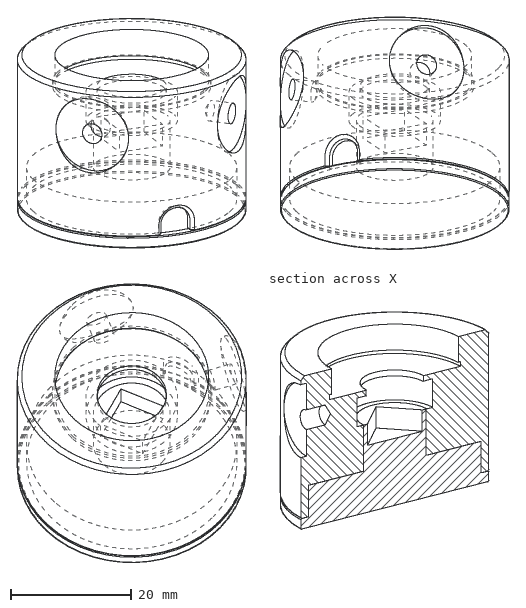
import cadquery as cq
import math

outer_diameter = 38.1
total_height = 27.4
rim_chamfer = 0.75
joint_chamfer = 0.2

flange_height = 2.0
spigot_diameter = 35.0
spigot_top = 7.62
hub_diameter = 12.8
hub_top = 15.9
socket_side = 7.77
socket_depth = 3.8
socket_turn = 45.0

mouth_diameter = 25.6
mouth_depth = 4.65
groove_diameter = 26.4
groove_floor_depth = 5.4
lip_diameter = 11.5
lip_thickness = 1.05
chamber_diameter = 15.25

seat_diameter = 13.0
seat_depth = 1.15
seat_height = 19.4
seat_directions = (-90, 0)
hole_diameter = 3.45
hole_depth = 3.8
drill_point_angle = 118.0

window_width = 5.25
window_spring_height = 3.8
window_chamfer = 0.6
window_direction = -45.0

outer_radius = outer_diameter / 2
spigot_radius = spigot_diameter / 2
mouth_bottom = total_height - mouth_depth
groove_floor = total_height - groove_floor_depth
lip_bottom = groove_floor - lip_thickness


def disc(diameter, bottom, top):
    """Upright cylinder on the Z axis between two heights."""
    return cq.Workplane("XY").workplane(offset=bottom).circle(diameter / 2).extrude(top - bottom)


def turn(shape, angle):
    """Turn a shape about the Z axis."""
    return shape.rotate((0, 0, 0), (0, 0, 1), angle)


def make_base():
    """Chamfered flange with a spigot and a hub that carries the square socket."""
    flange = disc(outer_diameter, 0, flange_height).edges().chamfer(joint_chamfer)
    spigot = disc(spigot_diameter, flange_height, spigot_top)
    hub = disc(hub_diameter, spigot_top, hub_top)
    socket = (
        cq.Workplane("XY")
        .workplane(offset=hub_top - socket_depth)
        .rect(socket_side, socket_side)
        .extrude(socket_depth)
    )
    return flange.union(spigot).union(hub).cut(turn(socket, socket_turn))


def make_window():
    """Arched opening that runs from the axis out through the -X side."""
    half_width = window_width / 2
    return (
        cq.Workplane("YZ")
        .moveTo(-half_width, 0)
        .lineTo(-half_width, window_spring_height)
        .threePointArc((0, window_spring_height + half_width), (half_width, window_spring_height))
        .lineTo(half_width, 0)
        .close()
        .extrude(-outer_diameter)
    )


def is_on_outer_wall(edge):
    """True when the middle of the edge lies on the outer cylinder."""
    middle = edge.positionAt(0.5)
    return math.isclose(math.hypot(middle.x, middle.y), outer_radius, abs_tol=0.005)


def is_off_bore(edge):
    """True for every edge except the arcs of the spigot bore."""
    return edge.geomType() != "CIRCLE" or edge.radius() > spigot_radius + joint_chamfer


def make_shell():
    """Housing blank with its spigot bore and chamfered window, turned into place."""
    shell = disc(outer_diameter, flange_height, total_height).edges(">Z").chamfer(rim_chamfer)
    shell = shell.cut(disc(spigot_diameter, flange_height, spigot_top)).cut(make_window())

    zone_reach = window_width
    window_zone = cq.selectors.BoxSelector(
        (-outer_diameter, -zone_reach, flange_height + joint_chamfer), (0, zone_reach, spigot_top)
    )
    shell = shell.edges(window_zone).filter(is_on_outer_wall).chamfer(window_chamfer)
    shell = shell.faces("<Z").edges().filter(is_off_bore).chamfer(joint_chamfer)
    return turn(shell, window_direction + 180)


def make_cavity():
    """Mouth, undercut groove, lip opening, undercut chamber and hub bore."""
    mouth = disc(mouth_diameter, mouth_bottom, total_height)
    groove = disc(groove_diameter, groove_floor, mouth_bottom)
    lip_opening = disc(lip_diameter, lip_bottom, groove_floor)
    chamber = disc(chamber_diameter, hub_top, lip_bottom)
    hub_bore = disc(hub_diameter, spigot_top, hub_top)
    return mouth.union(groove).union(lip_opening).union(chamber).union(hub_bore)


def make_seat(direction):
    """Flat round seat with a drilled hole, facing the given direction."""
    seat_floor = outer_radius - seat_depth
    hole_radius = hole_diameter / 2
    hole_end = seat_floor - hole_depth
    hole_tip = hole_end - hole_radius / math.tan(math.radians(drill_point_angle / 2))
    half_profile = [
        (hole_tip, 0),
        (hole_end, hole_radius),
        (seat_floor, hole_radius),
        (seat_floor, seat_diameter / 2),
        (outer_radius, seat_diameter / 2),
        (outer_radius, 0),
    ]
    seat = cq.Workplane("XZ").polyline(half_profile).close().revolve(360, (0, 0), (1, 0))
    return turn(seat.translate((0, 0, seat_height)), direction)


def make_housing():
    """Shell with the stepped cavity and the side seats cut into it."""
    housing = make_shell().cut(make_cavity())
    for direction in seat_directions:
        housing = housing.cut(make_seat(direction))
    return housing


base = make_base()
housing = make_housing()

result = cq.Compound.makeCompound([base.val(), housing.val()])